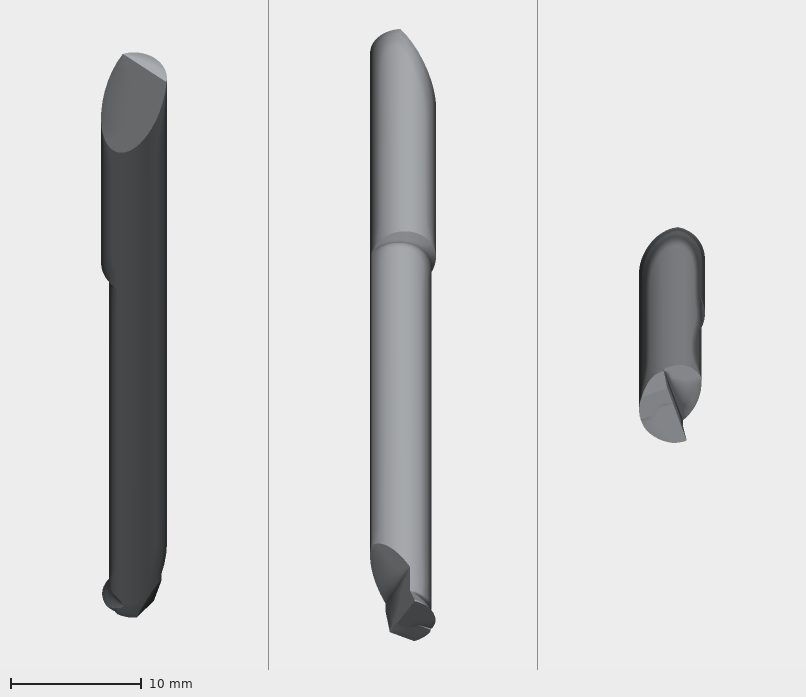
import cadquery as cq
import math

length = 64.5
shank_radius = 2.5
neck_offset = 0.8
shoulder_bottom = 41.1
shoulder_height = 0.6
bevel_height = 6.45
bevel_top_y = 1.3
rake_y = 0.25
runout_bottom = 4.65
runout_top = 8.05
body_bottom = 0.65
back_clearance_top = 3.9
back_clearance = 0.8
tip_top = 2.7
throat_z = 1.95
flare_bottom = 0.2
throat_radius = 2.5
tip_top_radius = 2.8
tip_rise = 0.7
tip_run = 4.7
end_relief = 0.4

seat_top_x = 0.6
seat_corner_x = 0.9
seat_corner_z = 1.9
seat_inner_x = 0.1
seat_inner_z = 1.15
tip_heel_x = 0.5

margin = 3.2


def cylinder(radius, height):
    return cq.Workplane("XY").circle(radius).extrude(height)


def prism_along_y(points):
    """Solid with an XZ outline, spanning the full width of the bar."""
    return cq.Workplane("XZ").polyline(points).close().extrude(shank_radius + margin, both=True)


def prism_along_x(points):
    """Solid with a YZ outline, spanning the full width of the bar."""
    return cq.Workplane("YZ").polyline(points).close().extrude(shank_radius + margin, both=True)


def relieved_bar():
    """Round shank, conical shoulder and lens-shaped neck."""
    shoulder_top = shoulder_bottom + shoulder_height
    envelope = (
        cq.Workplane("XZ")
        .polyline([
            (0, 0),
            (shank_radius, 0),
            (shank_radius, shoulder_bottom),
            (shank_radius + neck_offset, shoulder_top),
            (shank_radius + neck_offset, length),
            (0, length),
        ])
        .close()
        .revolve(360, (0, 0), (0, 1))
        .translate((neck_offset, 0, 0))
    )
    return cylinder(shank_radius, length).intersect(envelope)


def shank_bevel():
    bevel_bottom = length - bevel_height
    return prism_along_x([
        (-shank_radius, bevel_bottom),
        (bevel_top_y, length),
        (-shank_radius, length),
    ])


def rake_relief():
    return prism_along_x([
        (rake_y, -margin),
        (rake_y, runout_bottom),
        (shank_radius, runout_top),
        (shank_radius + margin, runout_top),
        (shank_radius + margin, -margin),
    ])


def back_relief():
    return prism_along_y([
        (shank_radius, back_clearance_top),
        (shank_radius - back_clearance, body_bottom),
        (shank_radius - back_clearance, -margin),
        (shank_radius + margin, -margin),
        (shank_radius + margin, back_clearance_top),
    ])


def tip_seat():
    """Space in the end of the bar that the cutting tip fills."""
    return prism_along_y([
        (-shank_radius - margin, tip_top),
        (seat_top_x, tip_top),
        (seat_corner_x, seat_corner_z),
        (seat_inner_x, seat_inner_z),
        (seat_inner_x, body_bottom),
        (tip_heel_x, body_bottom),
        (tip_heel_x, -margin),
        (-shank_radius - margin, -margin),
    ])


def make_bar():
    end_cut = cylinder(shank_radius + margin, body_bottom)
    bar = relieved_bar().cut(shank_bevel()).cut(rake_relief()).cut(back_relief())
    return bar.cut(end_cut).cut(tip_seat())


def tip_flank():
    """Waisted cone around an axis in the rake plane, held within the bar."""
    flare_radius = shank_radius + neck_offset
    cone = (
        cq.Workplane("XZ")
        .polyline([
            (0, 0),
            (flare_radius, 0),
            (flare_radius, flare_bottom),
            (throat_radius, throat_z),
            (tip_top_radius, tip_top),
            (0, tip_top),
        ])
        .close()
        .revolve(360, (0, 0), (0, 1))
        .translate((neck_offset, rake_y, 0))
    )
    flare_space = cylinder(shank_radius, throat_z)
    neck_space = relieved_bar()
    return cone.intersect(flare_space.union(neck_space))


def tip_end_relief():
    """Block below the end face, which slopes up along +X and -Y."""
    x_angle = math.degrees(math.atan(tip_rise / tip_run))
    y_angle = math.degrees(math.atan(end_relief / shank_radius))
    size = 2 * (shank_radius + margin)
    block = cq.Workplane("XY").box(size, size, margin, centered=(True, True, False))
    return (
        block.translate((0, 0, -margin))
        .rotate((0, 0, 0), (1, 0, 0), -y_angle)
        .rotate((0, 0, 0), (0, 1, 0), -x_angle)
        .translate((-shank_radius, rake_y, 0))
    )


def make_tip():
    return tip_flank().intersect(tip_seat()).cut(rake_relief()).cut(tip_end_relief())


bar = make_bar()
tip = make_tip()
result = cq.Compound.makeCompound([bar.solids().val(), tip.solids().val()])